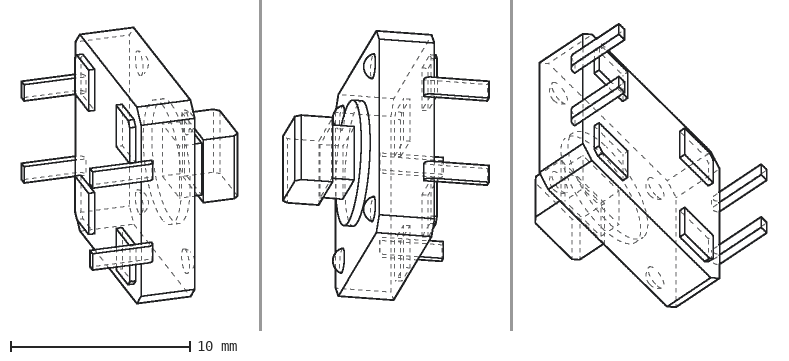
import cadquery as cq


overall_width = 13.0
lead_thickness = 0.5
housing_size = overall_width - 2 * lead_thickness
housing_depth = 3.15
housing_corner_chamfer = 0.78

collar_diameter = 7.02
collar_height = 0.51
stem_size = 3.17
stem_length = 1.3
cap_size = 3.84
cap_length = 2.09
cap_chamfer = 0.3

rivet_offset = 4.24
rivet_base_radius = 0.7
rivet_height = collar_height

pad_inner_edge = 2.51
pad_size = 2.51
pad_thickness = 0.35
pad_chamfer = 0.32

lead_width = 1.0
lead_spacing = 5.0
lead_reach = 3.0
lead_overlap = 0.61
lead_tip_radius = 0.34

signs = (-1, 1)


def block(size_x, size_z, y_start, length):
    """Box centred on the Y axis, running from y_start towards +Y."""
    return cq.Workplane("XY").box(size_x, length, size_z).translate((0, y_start + length / 2, 0))


def make_housing():
    housing = block(housing_size, housing_size, 0, housing_depth)
    return housing.edges("|Y").chamfer(housing_corner_chamfer)


def make_button():
    collar_top = housing_depth + collar_height
    collar = (
        cq.Workplane("XZ", origin=(0, housing_depth, 0))
        .circle(collar_diameter / 2)
        .extrude(-collar_height)
    )
    stem = block(stem_size, stem_size, collar_top, stem_length)
    cap = block(cap_size, cap_size, collar_top + stem_length, cap_length)
    cap = cap.faces(">Y").edges("|Z").chamfer(cap_chamfer)
    return collar.union(stem).union(cap)


def make_rivet(x, z):
    """Ball sunk into the housing so that only a cap of the given base and height stands proud."""
    ball_radius = (rivet_base_radius**2 + rivet_height**2) / (2 * rivet_height)
    ball_centre_y = housing_depth + rivet_height - ball_radius
    return cq.Workplane("XY").sphere(ball_radius).translate((x, ball_centre_y, z))


def make_pad(side_x, side_z):
    """Square pad with a bevel on the corner nearest the housing corner."""
    centre = pad_inner_edge + pad_size / 2
    pad = block(pad_size, pad_size, -pad_thickness, pad_thickness)
    outer_x = ">X" if side_x > 0 else "<X"
    outer_z = ">Z" if side_z > 0 else "<Z"
    pad = pad.faces(outer_x).edges(outer_z).chamfer(pad_chamfer)
    return pad.translate((side_x * centre, 0, side_z * centre))


def make_lead(side_x, side_z):
    """Flat lead lying against the housing side, rounded on its outer front edge."""
    lead = block(lead_thickness, lead_width, -lead_reach, lead_reach + lead_overlap)
    outer_x = ">X" if side_x > 0 else "<X"
    lead = lead.faces(outer_x).edges(">Y").fillet(lead_tip_radius)
    centre_x = (housing_size + lead_thickness) / 2
    return lead.translate((side_x * centre_x, 0, side_z * lead_spacing / 2))


result = make_housing().union(make_button())
for side_x in signs:
    for side_z in signs:
        result = result.union(make_rivet(side_x * rivet_offset, side_z * rivet_offset))
        result = result.union(make_pad(side_x, side_z))
        result = result.union(make_lead(side_x, side_z))